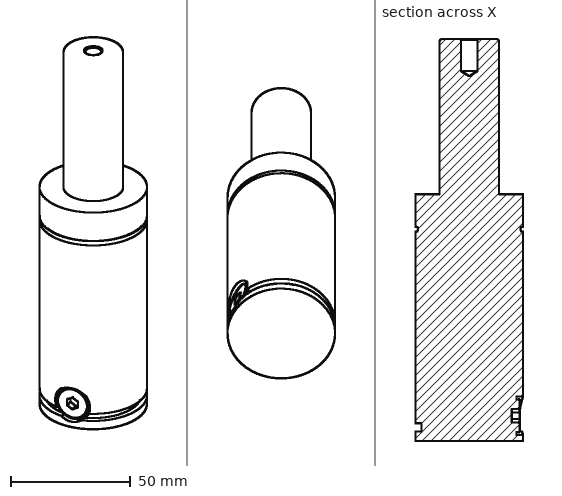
import cadquery as cq
import math

total_height = 168.0
body_diameter = 45.0
body_height = 103.2
rod_diameter = 25.0
rod_edge_radius = 1.0

flange_height = 4.0
clamp_groove_width = 3.4
clamp_groove_diameter = 40.0

round_groove_height = 88.5
round_groove_radius = 1.0

rod_hole_diameter = 6.7
rod_hole_depth = 13.5
rod_hole_chamfer = 0.5
drill_point_height = 2.0

port_height = 10.5
port_diameter = 16.0
plug_face_diameter = 14.0
plug_face_offset = 21.2
plug_length = 6.7
plug_inner_end = plug_face_offset - plug_length
plug_face_step = 1.3
plug_face_chamfer = 0.3
hex_across_flats = 4.9
hex_depth = 3.4


def cylinder(diameter, bottom, height):
    """Upright cylinder on the body axis."""
    return cq.Workplane("XY").workplane(offset=bottom).circle(diameter / 2).extrude(height)


def port_cylinder(diameter, depth_from, depth_to):
    """Cylinder on the port axis between two distances from the body axis."""
    plane = cq.Workplane("XZ", origin=(0, -depth_from, port_height))
    return plane.circle(diameter / 2).extrude(depth_to - depth_from)


def make_body():
    body = cylinder(body_diameter, 0, body_height)
    groove = cylinder(body_diameter, flange_height, clamp_groove_width).cut(
        cylinder(clamp_groove_diameter, flange_height, clamp_groove_width)
    )
    round_groove = (
        cq.Workplane("XZ")
        .center(body_diameter / 2, round_groove_height)
        .circle(round_groove_radius)
        .revolve(360, (-body_diameter / 2, 0, 0), (-body_diameter / 2, 1, 0))
    )
    return body.cut(groove).cut(round_groove)


def make_rod():
    rod = cylinder(rod_diameter, body_height, total_height - body_height)
    return rod.faces(">Z").edges("%CIRCLE").fillet(rod_edge_radius)


def make_rod_hole():
    """Blind hole with a conical bottom and a chamfered mouth."""
    radius = rod_hole_diameter / 2
    bottom = total_height - rod_hole_depth
    return (
        cq.Workplane("XZ")
        .moveTo(0, bottom - drill_point_height)
        .lineTo(radius, bottom)
        .lineTo(radius, total_height - rod_hole_chamfer)
        .lineTo(radius + rod_hole_chamfer, total_height)
        .lineTo(0, total_height)
        .close()
        .revolve(360, (0, 0, 0), (0, 1, 0))
    )


def make_plug():
    """Plug with a raised, chamfered face inside a flat rim."""
    rim = port_cylinder(port_diameter, plug_inner_end, plug_face_offset - plug_face_step)
    face = port_cylinder(plug_face_diameter, plug_inner_end, plug_face_offset)
    return rim.union(face.faces("<Y").chamfer(plug_face_chamfer))


def make_hex_socket():
    """Hexagon socket in the plug face, with corners at its top and bottom."""
    across_corners = hex_across_flats / math.cos(math.pi / 6)
    plane = cq.Workplane("XZ", origin=(0, -(plug_face_offset - hex_depth), port_height))
    hexagon = plane.transformed(rotate=(0, 0, 90)).polygon(6, across_corners)
    return hexagon.extrude(hex_depth)


result = (
    make_body()
    .union(make_rod())
    .cut(make_rod_hole())
    .cut(port_cylinder(port_diameter, plug_inner_end, body_diameter / 2))
    .union(make_plug())
    .cut(make_hex_socket())
)